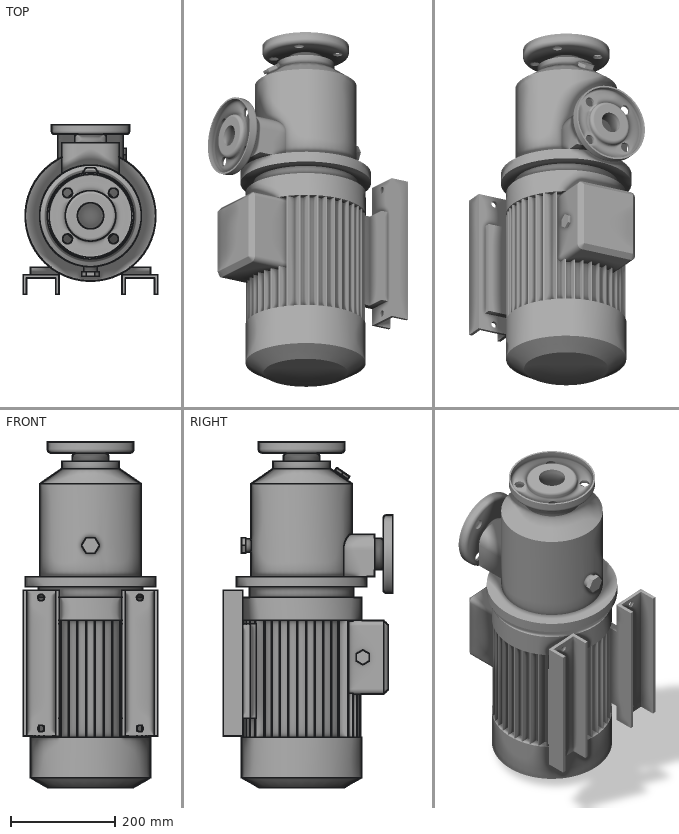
import cadquery as cq
import math

MOTOR_RADIUS = 115.0
FAN_COVER_END_RADIUS = 81.0
NECK_RADIUS = 100.0
MOUNT_FLANGE_RADIUS = 125.0
FAN_COVER_TAPER_TOP = 20.0
FINS_BOTTOM = 97.5
FINS_TOP = 320.5
SHIELD_TOP = 365.0
NECK_TOP = 385.0
MOTOR_TOP = 405.0

FIN_ROOT_RADIUS = 100.0
FIN_TIP_RADIUS = 114.0
FIN_THICKNESS = 2.0
FIN_PITCH_ANGLE = 360 / 42
FINS_PER_HALF_FACE = 5

BOX_WIDTH = 126.0
BOX_HEIGHT = 141.0
BOX_BACK_Y = 166.0
BOX_FRONT_Y = 87.0
BOX_EDGE = 10.0
BOX_CHAMFER = 9.0
BOX_TOP = FINS_TOP
BOX_MID_Z = BOX_TOP - BOX_HEIGHT / 2
GLAND_FLATS = 24.5
GLAND_LENGTH = 6.0
GLAND_Y = 117.0

RAIL_INNER_X = 60.0
OVERALL_WIDTH = 258.0
RAIL_OUTER_X = OVERALL_WIDTH / 2
RAIL_DEPTH = 38.0
RAIL_WALL = 6.5
RAIL_TOP_Y = -112.5
RAIL_BOTTOM = 99.5
RAIL_LENGTH = 279.5
RAIL_MID_X = (RAIL_INNER_X + RAIL_OUTER_X) / 2
RAIL_HOLE_DIAMETER = 12.5
RAIL_HOLE_INSET = 14.5
FOOT_BOTTOM = 133.0
FOOT_TOP = 314.0
FOOT_PLATE_Y = -98.0
FOOT_WEB_X = 75.0
FOOT_WEB_Y = -87.0
FOOT_OUTER_X = 115.0

CASING_RADIUS = 97.5
CONE_BOTTOM = 582.5
CONE_TOP = 611.5
COLLAR_RADIUS = 55.0
COLLAR_TOP = 626.0
PUMP_TOP = 662.5

BRANCH_HALF_WIDTH = 55.0
BRANCH_TOP = 486.0
BRANCH_END_Y = 140.0
BRANCH_ROUND = 30.5
DISCHARGE_Z = 448.0
DISCHARGE_FACE_Y = 175.0

FLANGE_FLOOR = 6.0
FLANGE_RIM_WALL = 3.0
FLANGE_HOLE_DIAMETER = 18.5
FLANGE_HOLE_COUNT = 4
FLANGE_FIRST_HOLE_ANGLE = 45
SEAT_ROUND = 6.0
TROUGH_ROUND = 3.0
SUCTION_ROUND = 8.0
DISCHARGE_ROUND = 6.0
SUCTION_FLANGE_RADIUS = 83.0
SUCTION_FLANGE_HEIGHT = 21.0
SUCTION_SEAT_RADIUS = 48.5
SUCTION_BOLT_RADIUS = 62.0
SUCTION_NECK_RADIUS = 35.0
SUCTION_BORE_RADIUS = 25.0
DISCHARGE_FLANGE_RADIUS = 75.0
DISCHARGE_FLANGE_HEIGHT = 18.5
DISCHARGE_SEAT_RADIUS = 42.5
DISCHARGE_BOLT_RADIUS = 55.0
DISCHARGE_NECK_RADIUS = 30.5
DISCHARGE_BORE_RADIUS = 20.0

PLUG_FLATS = 30.0
PLUG_SHANK_RADIUS = 13.0
PLUG_ROOT = 6.5
DRAIN_Z = 464.5
DRAIN_SHANK = 9.0
DRAIN_HEAD = 8.5
VENT_RADIAL = 75.0
VENT_SHANK = 2.0
VENT_HEAD = 6.5


def block(x_range, y_range, z_range):
    """Axis-aligned box between the given limits."""
    size = [high - low for low, high in (x_range, y_range, z_range)]
    corner = (x_range[0], y_range[0], z_range[0])
    return cq.Workplane("XY").box(*size, centered=False).translate(corner)


def cylinder(radius, bottom, top):
    """Upright cylinder on the Z axis."""
    return cq.Workplane("XY").workplane(offset=bottom).circle(radius).extrude(top - bottom)


def turned(outline):
    """Solid of revolution about Z from (radius, height) points."""
    return cq.Workplane("XZ").polyline(outline).close().revolve(360, (0, 0, 0), (0, 1, 0))


def hexagon_prism(plane, flats, length):
    """Hexagonal prism with two corners on the plane's local X axis."""
    return cq.Workplane(plane).polygon(6, flats / math.cos(math.pi / 6)).extrude(length)


def motor_frame():
    return turned([
        (0, 0),
        (FAN_COVER_END_RADIUS, 0),
        (MOTOR_RADIUS, FAN_COVER_TAPER_TOP),
        (MOTOR_RADIUS, FINS_BOTTOM),
        (FIN_ROOT_RADIUS, FINS_BOTTOM),
        (FIN_ROOT_RADIUS, FINS_TOP),
        (MOTOR_RADIUS, FINS_TOP),
        (MOTOR_RADIUS, SHIELD_TOP),
        (NECK_RADIUS, SHIELD_TOP),
        (NECK_RADIUS, NECK_TOP),
        (MOUNT_FLANGE_RADIUS, NECK_TOP),
        (MOUNT_FLANGE_RADIUS, MOTOR_TOP),
        (0, MOTOR_TOP),
    ])


def fin_offset(pitches):
    """Distance from the axis to a rib whose tip lies the given number of pitches off centre."""
    return FIN_TIP_RADIUS * math.sin(math.radians(pitches * FIN_PITCH_ANGLE))


def cooling_fins():
    """Ribs parallel to X and to Y, reaching out to one common tip cylinder."""
    half = FIN_THICKNESS / 2
    reach = (-FIN_TIP_RADIUS, FIN_TIP_RADIUS)
    height = (FINS_BOTTOM, FINS_TOP)
    fins = cq.Workplane("XY")
    for index in range(-FINS_PER_HALF_FACE, FINS_PER_HALF_FACE):
        offset = fin_offset(index + 0.5)
        thickness = (offset - half, offset + half)
        fins = fins.union(block(reach, thickness, height))
        fins = fins.union(block(thickness, reach, height))
    return fins.intersect(cylinder(FIN_TIP_RADIUS, FINS_BOTTOM, FINS_TOP))


def terminal_box():
    half_width = BOX_WIDTH / 2
    box = block((-half_width, half_width), (BOX_FRONT_Y, BOX_BACK_Y), (BOX_TOP - BOX_HEIGHT, BOX_TOP))
    box = box.edges("|Y").fillet(BOX_EDGE)
    box = box.faces(">Y").chamfer(BOX_CHAMFER)
    root = block((-half_width, half_width), (0, BOX_FRONT_Y), (BOX_TOP - BOX_HEIGHT, BOX_TOP))
    root = root.edges("|Y").fillet(BOX_EDGE).intersect(cylinder(FIN_TIP_RADIUS, 0, MOTOR_TOP))
    gland_plane = cq.Plane((half_width, GLAND_Y, BOX_MID_Z), xDir=(0, 0, 1), normal=(1, 0, 0))
    return box.union(root).union(hexagon_prism(gland_plane, GLAND_FLATS, GLAND_LENGTH))


def foot():
    """Plate on the rail, with a narrower web reaching in to the finned core."""
    height = (FOOT_BOTTOM, FOOT_TOP)
    plate = block((RAIL_INNER_X, FOOT_OUTER_X), (RAIL_TOP_Y, FOOT_PLATE_Y), height)
    web = block((RAIL_INNER_X, FOOT_WEB_X), (RAIL_TOP_Y, FOOT_WEB_Y), height)
    fin_x = fin_offset(FINS_PER_HALF_FACE - 0.5)
    root = block((RAIL_INNER_X, fin_x), (FOOT_WEB_Y, -fin_x), height)
    return plate.union(web).union(root)


def rail():
    """Channel section, open toward -Y, with one fixing hole near each end."""
    x_range = (RAIL_INNER_X, RAIL_OUTER_X)
    z_range = (RAIL_BOTTOM, RAIL_BOTTOM + RAIL_LENGTH)
    channel = block(x_range, (RAIL_TOP_Y - RAIL_DEPTH, RAIL_TOP_Y), z_range)
    channel = channel.cut(block(
        (x_range[0] + RAIL_WALL, x_range[1] - RAIL_WALL),
        (RAIL_TOP_Y - RAIL_DEPTH, RAIL_TOP_Y - RAIL_WALL),
        z_range,
    ))
    hole_heights = (z_range[0] + RAIL_HOLE_INSET, z_range[1] - RAIL_HOLE_INSET)
    holes = (
        cq.Workplane("XZ", origin=(0, RAIL_TOP_Y, 0))
        .pushPoints([(RAIL_MID_X, height) for height in hole_heights])
        .circle(RAIL_HOLE_DIAMETER / 2)
        .extrude(RAIL_WALL)
    )
    return channel.cut(holes)


def make_motor():
    support = foot().union(rail())
    body = motor_frame().union(cooling_fins()).union(terminal_box())
    return body.union(support).union(support.mirror("YZ"))


def pump_casing():
    return turned([
        (0, MOTOR_TOP),
        (CASING_RADIUS, MOTOR_TOP),
        (CASING_RADIUS, CONE_BOTTOM),
        (COLLAR_RADIUS, CONE_TOP),
        (COLLAR_RADIUS, COLLAR_TOP),
        (0, COLLAR_TOP),
    ])


def discharge_branch():
    branch = block((-BRANCH_HALF_WIDTH, BRANCH_HALF_WIDTH), (0, BRANCH_END_Y), (MOTOR_TOP, BRANCH_TOP))
    return branch.edges("|Y and >Z").fillet(BRANCH_ROUND)


def flange(radius, height, back_round, seat_radius, bolt_radius):
    """Flange with its rim and raised seat at Z = 0, a trough between them and bolt holes in its floor."""
    disc = cylinder(radius, -height, 0).faces("<Z").edges().fillet(back_round)
    trough = cylinder(radius - FLANGE_RIM_WALL, FLANGE_FLOOR - height, 0)
    trough = trough.cut(cylinder(seat_radius, -height, 0)).faces("<Z").edges().fillet(TROUGH_ROUND)
    ring = disc.cut(trough)
    ring = ring.faces(">Z").edges(cq.selectors.RadiusNthSelector(0)).fillet(SEAT_ROUND)
    bolt_holes = (
        cq.Workplane("XY", origin=(0, 0, -height))
        .polarArray(bolt_radius, FLANGE_FIRST_HOLE_ANGLE, 360, FLANGE_HOLE_COUNT)
        .circle(FLANGE_HOLE_DIAMETER / 2)
        .extrude(height)
    )
    return ring.cut(bolt_holes)


def pipe_neck(radius, bottom, top, top_round):
    """Short pipe, rounded in at the top where it meets the flange."""
    return cylinder(radius, bottom, top).faces(">Z").edges().fillet(top_round)


def suction_nozzle():
    height = SUCTION_FLANGE_HEIGHT
    ring = flange(SUCTION_FLANGE_RADIUS, height, SUCTION_ROUND, SUCTION_SEAT_RADIUS, SUCTION_BOLT_RADIUS)
    neck = pipe_neck(SUCTION_NECK_RADIUS, COLLAR_TOP - PUMP_TOP, -height, SUCTION_ROUND)
    return ring.union(neck).translate((0, 0, PUMP_TOP))


def discharge_nozzle():
    height = DISCHARGE_FLANGE_HEIGHT
    ring = flange(
        DISCHARGE_FLANGE_RADIUS, height, DISCHARGE_ROUND, DISCHARGE_SEAT_RADIUS, DISCHARGE_BOLT_RADIUS
    )
    neck = pipe_neck(DISCHARGE_NECK_RADIUS, BRANCH_END_Y - DISCHARGE_FACE_Y, -height, DISCHARGE_ROUND)
    nozzle = ring.union(neck).rotate((0, 0, 0), (1, 0, 0), -90)
    return nozzle.translate((0, DISCHARGE_FACE_Y, DISCHARGE_Z))


def pipe_bores():
    suction = cylinder(SUCTION_BORE_RADIUS, CONE_TOP, PUMP_TOP)
    discharge = (
        cq.Workplane("XZ", origin=(0, BRANCH_END_Y, DISCHARGE_Z))
        .circle(DISCHARGE_BORE_RADIUS)
        .extrude(-(DISCHARGE_FACE_Y - BRANCH_END_Y))
    )
    return suction.union(discharge)


def screw_plug(origin, normal, shank, head):
    """Round shank standing out of the casing along the normal, with a hexagonal head."""
    plane = cq.Plane(origin, xDir=(1, 0, 0), normal=normal)
    root_plane = cq.Workplane(plane).workplane(offset=-PLUG_ROOT)
    stem = root_plane.circle(PLUG_SHANK_RADIUS).extrude(PLUG_ROOT + shank)
    head_plane = cq.Plane(plane.toWorldCoords((0, 0, shank)), xDir=(1, 0, 0), normal=normal)
    return stem.union(hexagon_prism(head_plane, PLUG_FLATS, head))


def drain_plug():
    return screw_plug((0, -CASING_RADIUS, DRAIN_Z), (0, -1, 0), DRAIN_SHANK, DRAIN_HEAD)


def vent_plug():
    """Plug square to the cone surface on the +Y side."""
    run = CASING_RADIUS - COLLAR_RADIUS
    rise = CONE_TOP - CONE_BOTTOM
    height = CONE_BOTTOM + rise * (CASING_RADIUS - VENT_RADIAL) / run
    return screw_plug((0, VENT_RADIAL, height), (0, rise, run), VENT_SHANK, VENT_HEAD)


def make_pump():
    body = pump_casing().union(discharge_branch())
    body = body.union(suction_nozzle()).union(discharge_nozzle())
    body = body.cut(pipe_bores())
    return body.union(drain_plug()).union(vent_plug())


motor = make_motor().solids()
pump = make_pump().solids()
result = cq.Compound.makeCompound([motor.val(), pump.val()])